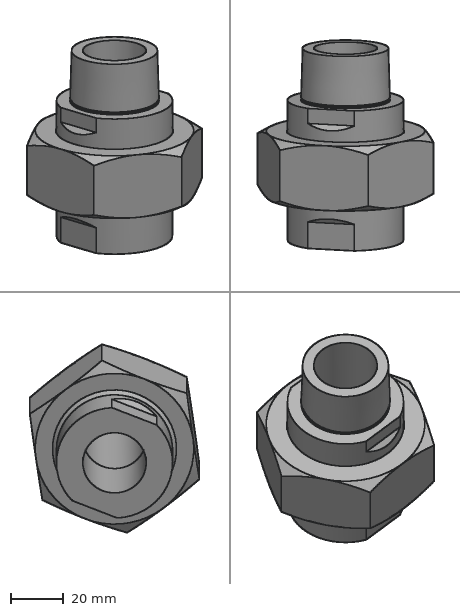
import cadquery as cq
import math

total_height = 74.0
thread_bottom = 55.05
neck_top = 54.6
neck_bottom = 54.4
collar_top = 54.0
nut_top = 42.0
nut_bottom = 17.0
flare_bottom = 15.55
seal_height = (nut_top + nut_bottom) / 2
lip_thickness = 5.0

bore_radius = 12.0
sleeve_radius = 22.0
lip_radius = 22.2
flange_radius = sleeve_radius + (nut_bottom - flare_bottom)
thread_top_radius = 16.3
thread_bottom_radius = 16.9
neck_radius = 16.4

nut_across_flats = 60.0
nut_chamfer_angle = math.radians(30)

flat_half_width = 20.0
lower_flat_top = 10.2
upper_flat_bottom = 48.25
runout = sleeve_radius - flat_half_width

shoulder_height = nut_top - lip_thickness


def revolve_profile(points):
    """Revolve a closed (radius, height) outline around Z."""
    return cq.Workplane("XZ").polyline(points).close().revolve(360, (0, 0, 0), (0, 1, 0))


def cut_wrench_flats(body, flat_end, open_end):
    """Cut flats on the -Y and +Y sides from the open end to the sloped run-out."""
    direction = math.copysign(1, flat_end - open_end)
    profile = [
        (flat_half_width, open_end),
        (flat_half_width, flat_end),
        (sleeve_radius, flat_end + direction * runout),
        (sleeve_radius, open_end),
    ]
    for side in (-1, 1):
        cutter = (
            cq.Workplane("YZ")
            .polyline([(side * y, z) for y, z in profile])
            .close()
            .extrude(sleeve_radius, both=True)
        )
        body = body.cut(cutter)
    return body


def make_lower_end():
    """Lower pipe end, flared out to the part held inside the nut."""
    body = revolve_profile([
        (bore_radius, 0),
        (sleeve_radius, 0),
        (sleeve_radius, flare_bottom),
        (flange_radius, nut_bottom),
        (flange_radius, seal_height),
        (bore_radius, seal_height),
    ])
    return cut_wrench_flats(body, lower_flat_top, 0)


def make_tail():
    """Upper pipe end with a flange under the nut lip and a tapered male end above a small groove."""
    body = revolve_profile([
        (bore_radius, seal_height),
        (flange_radius, seal_height),
        (flange_radius, shoulder_height),
        (sleeve_radius, shoulder_height),
        (sleeve_radius, collar_top),
        (thread_bottom_radius, collar_top),
        (neck_radius, neck_bottom),
        (neck_radius, neck_top),
        (thread_bottom_radius, thread_bottom),
        (thread_top_radius, total_height),
        (bore_radius, total_height),
    ])
    return cut_wrench_flats(body, upper_flat_bottom, collar_top)


def make_nut():
    """Hexagonal union nut with chamfered corners and a stepped bore."""
    face_radius = nut_across_flats / 2
    corner_radius = face_radius / math.cos(math.pi / 6)
    corner_drop = (corner_radius - face_radius) * math.tan(nut_chamfer_angle)
    hexagon = (
        cq.Workplane("XY", origin=(0, 0, nut_bottom))
        .polygon(6, 2 * corner_radius)
        .extrude(nut_top - nut_bottom)
    )
    chamfered_ring = revolve_profile([
        (flange_radius, nut_bottom),
        (face_radius, nut_bottom),
        (corner_radius, nut_bottom + corner_drop),
        (corner_radius, nut_top - corner_drop),
        (face_radius, nut_top),
        (lip_radius, nut_top),
        (lip_radius, shoulder_height),
        (flange_radius, shoulder_height),
    ])
    return hexagon.intersect(chamfered_ring)


lower_end = make_lower_end()
tail = make_tail()
nut = make_nut()

result = cq.Compound.makeCompound([lower_end.val(), tail.val(), nut.val()])